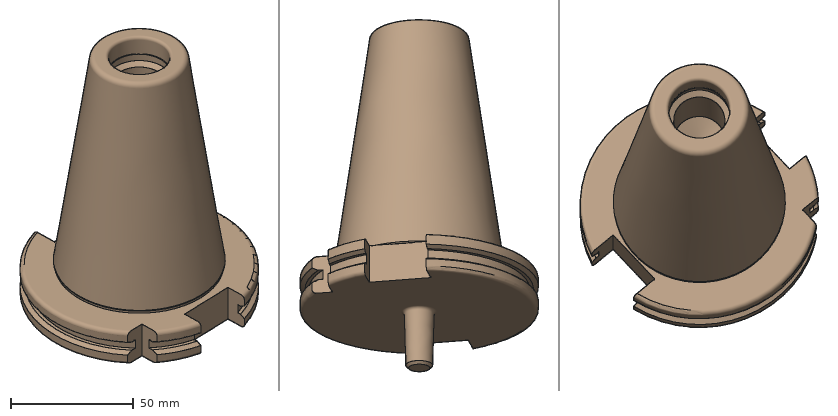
import cadquery as cq
import math

total_height = 145.2
spigot_length = 24.4
flange_thickness = 16.0
neck_height = 1.7
flange_top = spigot_length + flange_thickness
taper_bottom = flange_top + neck_height

taper_ratio = 7 / 24
taper_length = total_height - taper_bottom
taper_bottom_radius = 35.2
taper_top_radius = taper_bottom_radius - taper_length * taper_ratio / 2
taper_rim_fillet = 2.3
neck_radius = 34.7
neck_bevel_height = 0.7

flange_diameter = 97.5
flange_radius = flange_diameter / 2
flange_fillet = 1.7
groove_floor_radius = 45.2
groove_floor_width = 4.0
groove_mouth_width = 6.4
groove_flank_run = 2.0

slot_width = 25.7
left_slot_distance = 35.6
right_slot_distance = 37.8
notch_distance = 29.9

spigot_end_radius = 5.5
spigot_root_radius = 6.1
spigot_chamfer = 1.2
root_fillet = 1.3

bore_radius = 12.5
bore_depth = 11.9
relief_radius = 12.9
relief_height = 3.5
bore_rim_fillet = 1.3
drill_radius = 10.5
drill_depth = 34.9
drill_tip_angle = 118.0


def make_taper():
    neck = (cq.Workplane("XZ").moveTo(0, flange_top)
            .lineTo(neck_radius, flange_top)
            .lineTo(neck_radius, taper_bottom - neck_bevel_height)
            .lineTo(taper_bottom_radius, taper_bottom)
            .lineTo(0, taper_bottom)
            .close().revolve(360, (0, 0), (0, 1)))
    cone = cq.Workplane(cq.Solid.makeCone(
        taper_bottom_radius, taper_top_radius, taper_length, cq.Vector(0, 0, taper_bottom)))
    return neck.union(cone.faces(">Z").edges().fillet(taper_rim_fillet))


def make_groove():
    middle = spigot_length + flange_thickness / 2
    flank_radius = flange_radius - groove_flank_run
    profile = [
        (groove_floor_radius, middle - groove_floor_width / 2),
        (flank_radius, middle - groove_floor_width / 2),
        (flange_radius, middle - groove_mouth_width / 2),
        (flange_radius, middle + groove_mouth_width / 2),
        (flank_radius, middle + groove_floor_width / 2),
        (groove_floor_radius, middle + groove_floor_width / 2),
    ]
    return cq.Workplane("XZ").polyline(profile).close().revolve(360, (0, 0), (0, 1))


def make_flange_cutter(x_start, y_start, width):
    """Block reaching outward along X, cutting the full flange thickness."""
    return (cq.Workplane("XY").workplane(offset=spigot_length)
            .moveTo(x_start, y_start)
            .rect(math.copysign(flange_radius, x_start), width, centered=False)
            .extrude(flange_thickness))


def make_flange():
    flange = (cq.Workplane("XY").workplane(offset=spigot_length)
              .circle(flange_radius).extrude(flange_thickness)
              .edges().fillet(flange_fillet))
    flange = flange.cut(make_groove())
    for distance in (-left_slot_distance, right_slot_distance):
        flange = flange.cut(make_flange_cutter(distance, -slot_width / 2, slot_width))
    return flange.cut(make_flange_cutter(notch_distance, -notch_distance, -flange_radius))


def make_spigot():
    fillet_bottom = spigot_length - root_fillet
    fillet_middle = root_fillet * (1 - math.sqrt(0.5))
    return (cq.Workplane("XZ").moveTo(0, 0)
            .lineTo(spigot_end_radius - spigot_chamfer, 0)
            .lineTo(spigot_end_radius, spigot_chamfer)
            .lineTo(spigot_root_radius, fillet_bottom)
            .threePointArc((spigot_root_radius + fillet_middle, spigot_length - fillet_middle),
                           (spigot_root_radius + root_fillet, spigot_length))
            .lineTo(0, spigot_length)
            .close().revolve(360, (0, 0), (0, 1)))


def make_bore():
    seat_top = total_height - bore_depth
    drill_bottom = total_height - drill_depth
    tip_slope = 1 / math.tan(math.radians(drill_tip_angle / 2))
    tip_height = drill_radius * tip_slope
    seat_height = (relief_radius - drill_radius) * tip_slope
    rim_middle = bore_rim_fillet * (1 - math.sqrt(0.5))
    return (cq.Workplane("XZ").moveTo(0, total_height)
            .lineTo(bore_radius + bore_rim_fillet, total_height)
            .threePointArc((bore_radius + rim_middle, total_height - rim_middle),
                           (bore_radius, total_height - bore_rim_fillet))
            .lineTo(bore_radius, seat_top + relief_height)
            .lineTo(relief_radius, seat_top + relief_height)
            .lineTo(relief_radius, seat_top)
            .lineTo(drill_radius, seat_top - seat_height)
            .lineTo(drill_radius, drill_bottom)
            .lineTo(0, drill_bottom - tip_height)
            .close().revolve(360, (0, 0), (0, 1)))


result = make_flange().union(make_taper()).union(make_spigot()).cut(make_bore())